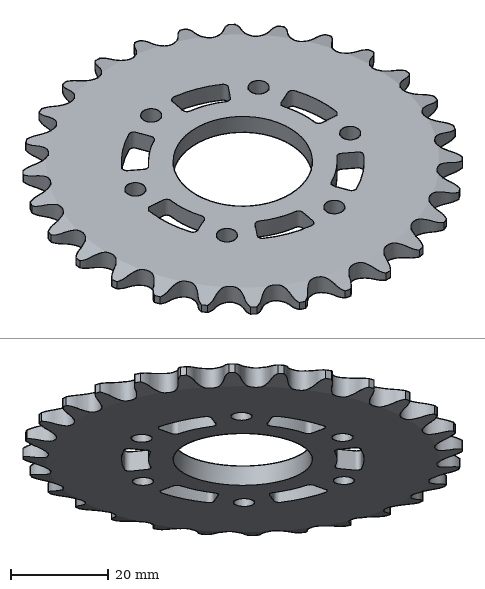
import cadquery as cq
import math

INCH = 25.4
TOOTH_COUNT = 28
CHAIN_PITCH = 0.375 * INCH
ROLLER_DIAMETER = 0.2 * INCH
THICKNESS = 4.29

FACE_RADIUS = 40.35
TIP_THICKNESS = 1.9

BORE_DIAMETER = 1.125 * INCH
PATTERN_COUNT = 6
BOLT_CIRCLE_RADIUS = 23.8
BOLT_HOLE_DIAMETER = 4.3
FIRST_BOLT_ANGLE = 30.0

SLOT_INNER_RADIUS = 19.35
SLOT_OUTER_RADIUS = 24.9
SLOT_HALF_ANGLE = 15.0
SLOT_CORNER_RADIUS = 1.1

SEATING_RATIO = 1.005
SEATING_CLEARANCE = 0.003 * INCH
FLANK_CENTRE_RATIO = 0.8
TIP_CENTRE_RATIO = 1.4
TIP_DIAMETER_RATIO = 0.6
SEATING_ANGLE = math.radians(35.0 + 60.0 / TOOTH_COUNT)
FLANK_SWEEP = math.radians(18.0 - 56.0 / TOOTH_COUNT)

HALF_TOOTH_ANGLE = math.pi / TOOTH_COUNT
PITCH_RADIUS = CHAIN_PITCH / (2 * math.sin(HALF_TOOTH_ANGLE))
TIP_RADIUS = CHAIN_PITCH * (TIP_DIAMETER_RATIO + 1 / math.tan(HALF_TOOTH_ANGLE)) / 2
SEATING_RADIUS = (SEATING_RATIO * ROLLER_DIAMETER + SEATING_CLEARANCE) / 2
FLANK_CENTRE_DISTANCE = FLANK_CENTRE_RATIO * ROLLER_DIAMETER
FLANK_RADIUS = SEATING_RADIUS + FLANK_CENTRE_DISTANCE


def polar(radius, angle, centre=(0.0, 0.0)):
    """Point at a radius and an angle in radians about a centre."""
    return (centre[0] + radius * math.cos(angle), centre[1] + radius * math.sin(angle))


def rotated(point, angle):
    """Point turned about the origin by an angle in radians."""
    x, y = point
    return (x * math.cos(angle) - y * math.sin(angle), x * math.sin(angle) + y * math.cos(angle))


def gap_side_points():
    """Right side of the tooth gap centred on +Y, from the seat up to the tooth tip.

    A concave flank arc rises from the seat, a straight tangent follows,
    and a convex arc leads to the tip circle.
    """
    roller_centre = (0.0, PITCH_RADIUS)
    flank_centre = polar(FLANK_CENTRE_DISTANCE, math.pi - SEATING_ANGLE, roller_centre)
    tip_centre = polar(TIP_CENTRE_RATIO * ROLLER_DIAMETER, -HALF_TOOTH_ANGLE, roller_centre)

    seat_end = polar(SEATING_RADIUS, -SEATING_ANGLE, roller_centre)
    flank_middle = polar(FLANK_RADIUS, FLANK_SWEEP / 2 - SEATING_ANGLE, flank_centre)
    normal_angle = FLANK_SWEEP - SEATING_ANGLE
    flank_end = polar(FLANK_RADIUS, normal_angle, flank_centre)

    offset_x = tip_centre[0] - flank_end[0]
    offset_y = tip_centre[1] - flank_end[1]
    convex_radius = offset_x * math.cos(normal_angle) + offset_y * math.sin(normal_angle)
    convex_start = polar(convex_radius, normal_angle + math.pi, tip_centre)

    centre_radius = math.hypot(*tip_centre)
    centre_angle = math.atan2(tip_centre[1], tip_centre[0])
    cosine = (TIP_RADIUS**2 + centre_radius**2 - convex_radius**2) / (2 * TIP_RADIUS * centre_radius)
    convex_end = polar(TIP_RADIUS, centre_angle + math.acos(cosine))
    end_angle = math.atan2(convex_end[1] - tip_centre[1], convex_end[0] - tip_centre[0])
    middle_angle = (normal_angle + math.pi + end_angle) / 2
    convex_middle = polar(convex_radius, middle_angle, tip_centre)

    return [seat_end, flank_middle, flank_end, convex_start, convex_middle, convex_end]


def toothed_blank():
    """Full-thickness disc with all the teeth, centred on the XY plane."""
    right = gap_side_points()
    left = [(-x, y) for x, y in reversed(right)]
    seat_bottom = (0.0, PITCH_RADIUS - SEATING_RADIUS)
    tip_middle = polar(TIP_RADIUS, math.pi / 2 - HALF_TOOTH_ANGLE)

    outline = cq.Workplane("XY", origin=(0, 0, -THICKNESS / 2)).moveTo(*left[0])
    for gap in range(TOOTH_COUNT):
        turn = -2 * HALF_TOOTH_ANGLE * gap
        down = [rotated(point, turn) for point in left]
        up = [rotated(point, turn) for point in right]
        outline = outline.threePointArc(down[1], down[2]).lineTo(*down[3])
        outline = outline.threePointArc(down[4], down[5])
        outline = outline.threePointArc(rotated(seat_bottom, turn), up[0])
        outline = outline.threePointArc(up[1], up[2]).lineTo(*up[3])
        outline = outline.threePointArc(up[4], up[5])
        next_tooth = rotated(left[0], turn - 2 * HALF_TOOTH_ANGLE)
        outline = outline.threePointArc(rotated(tip_middle, turn), next_tooth)
    return outline.close().extrude(THICKNESS)


def tapered_envelope():
    """Disc with a cone on each face, outside the flat face circle."""
    profile = [
        (0, -THICKNESS / 2),
        (FACE_RADIUS, -THICKNESS / 2),
        (TIP_RADIUS, -TIP_THICKNESS / 2),
        (TIP_RADIUS, TIP_THICKNESS / 2),
        (FACE_RADIUS, THICKNESS / 2),
        (0, THICKNESS / 2),
    ]
    return cq.Workplane("XZ").polyline(profile).close().revolve(360, (0, 0), (0, 1))


def slot_cutter():
    """Ring segment centred on +X with rounded corners."""
    half_angle = math.radians(SLOT_HALF_ANGLE)
    return (
        cq.Workplane("XY", origin=(0, 0, -THICKNESS))
        .moveTo(*polar(SLOT_INNER_RADIUS, -half_angle))
        .lineTo(*polar(SLOT_OUTER_RADIUS, -half_angle))
        .threePointArc((SLOT_OUTER_RADIUS, 0), polar(SLOT_OUTER_RADIUS, half_angle))
        .lineTo(*polar(SLOT_INNER_RADIUS, half_angle))
        .threePointArc((SLOT_INNER_RADIUS, 0), polar(SLOT_INNER_RADIUS, -half_angle))
        .close()
        .extrude(2 * THICKNESS)
        .edges("|Z")
        .fillet(SLOT_CORNER_RADIUS)
    )


def cut_bore_and_bolt_holes(body):
    """Cut the central bore and the ring of bolt holes through the disc."""
    body = body.cut(cq.Workplane("XY").circle(BORE_DIAMETER / 2).extrude(THICKNESS, both=True))
    bolt_holes = (
        cq.Workplane("XY")
        .polarArray(BOLT_CIRCLE_RADIUS, FIRST_BOLT_ANGLE, 360, PATTERN_COUNT)
        .circle(BOLT_HOLE_DIAMETER / 2)
        .extrude(THICKNESS, both=True)
    )
    return body.cut(bolt_holes)


def cut_slots(body):
    """Cut the lightening slots, one between each pair of bolt holes."""
    cutter = slot_cutter()
    for index in range(PATTERN_COUNT):
        body = body.cut(cutter.rotate((0, 0, 0), (0, 0, 1), index * 360 / PATTERN_COUNT))
    return body


sprocket = toothed_blank().intersect(tapered_envelope())
sprocket = cut_bore_and_bolt_holes(sprocket)
result = cut_slots(sprocket)